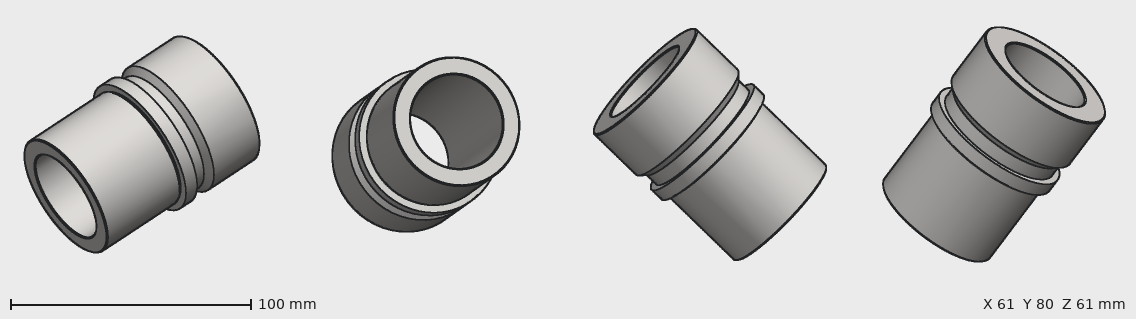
import cadquery as cq

length = 80.0
head_radius = 30.5
body_radius = 27.5
bore_radius = 20.0
edge_chamfer = 0.5
groove_depth = 0.5

groove_start = 39.1
flange_start = 40.0
flange_end = 46.0
head_start = 52.1

groove_radius = body_radius - groove_depth
cone_length = head_radius - body_radius
cone_end = head_start + cone_length


def bush_profile():
    """Half section as (radius, station) points, revolved about the axis."""
    return [
        (bore_radius + edge_chamfer, 0),
        (body_radius - edge_chamfer, 0),
        (body_radius, edge_chamfer),
        (body_radius, groove_start),
        (groove_radius, groove_start),
        (groove_radius, flange_start),
        (head_radius, flange_start),
        (head_radius, flange_end),
        (body_radius, flange_end),
        (body_radius, head_start),
        (head_radius, cone_end),
        (head_radius, length - edge_chamfer),
        (head_radius - edge_chamfer, length),
        (bore_radius + edge_chamfer, length),
        (bore_radius, length - edge_chamfer),
        (bore_radius, edge_chamfer),
    ]


result = (
    cq.Workplane("XY")
    .polyline(bush_profile())
    .close()
    .revolve(360, (0, 0, 0), (0, 1, 0))
    .translate((0, -length / 2, 0))
)